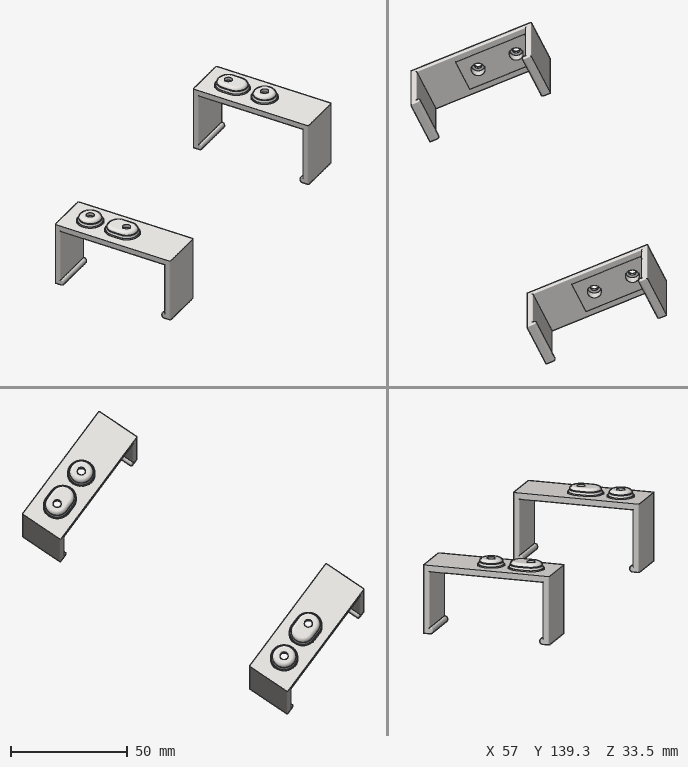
import cadquery as cq

OVERALL_SPAN = 139.3
OVERALL_HEIGHT = 33.5

LENGTH = 57.0
WIDTH = 20.0
WALL = 2.9
BOSS_HEIGHT = 2.9
BRACKET_HEIGHT = OVERALL_HEIGHT - BOSS_HEIGHT
LIP_HEIGHT = 2.9
LIP_RADIUS = LIP_HEIGHT / 2
EDGE_ROUND = 0.4
BRACKET_Y = (OVERALL_SPAN - WIDTH) / 2

FIRST_HOLE_X = 11.7
HOLE_PITCH = 18.0
SECOND_HOLE_X = FIRST_HOLE_X + HOLE_PITCH
STRETCH = 4.0

OPENING_DIAMETER = 11.8
FOOT_DIAMETER = 11.0
NECK_DIAMETER = 10.0
TOP_DIAMETER = 7.0
FOOT_HEIGHT = 0.4
SHOULDER_HEIGHT = 1.4
NECK_HEIGHT = 1.8
CROWN_BULGE = 0.3

HOLE_DIAMETER = 3.5
BORE_DIAMETER = 6.0
BORE_ROOF = 1.5

PLATE_THICKNESS = WALL / 2
PLATE_MARGIN = 1.4
PLATE_WIDTH = OPENING_DIAMETER + 2 * PLATE_MARGIN
PLATE_LENGTH = HOLE_PITCH + PLATE_WIDTH
PLATE_X = (FIRST_HOLE_X + SECOND_HOLE_X) / 2
PLATE_BOTTOM = BRACKET_HEIGHT - WALL
PLATE_TOP = PLATE_BOTTOM + PLATE_THICKNESS


def outline(x, stretch, diameter, z):
    """Sketch a circle around a hole at x, drawn out along X by a signed stretch."""
    sketch = cq.Workplane("XY", origin=(x + stretch / 2, 0, z))
    if stretch == 0:
        return sketch.circle(diameter / 2)
    return sketch.slot2D(diameter + abs(stretch), diameter)


def channel():
    """Constant U section with a rounded lip along the inside of each leg's end."""
    inner_right = LENGTH - WALL
    section = (
        cq.Workplane("XZ")
        .moveTo(0, 0)
        .lineTo(WALL, 0)
        .threePointArc((WALL + LIP_RADIUS, LIP_RADIUS), (WALL, LIP_HEIGHT))
        .lineTo(WALL, PLATE_BOTTOM)
        .lineTo(inner_right, PLATE_BOTTOM)
        .lineTo(inner_right, LIP_HEIGHT)
        .threePointArc((inner_right - LIP_RADIUS, LIP_RADIUS), (inner_right, 0))
        .lineTo(LENGTH, 0)
        .lineTo(LENGTH, BRACKET_HEIGHT)
        .lineTo(0, BRACKET_HEIGHT)
        .close()
        .extrude(WIDTH / 2, both=True)
    )
    return section.faces("<Y or >Y").edges("not >Z").fillet(EDGE_ROUND)


def insert_plate():
    return cq.Workplane("XY", origin=(PLATE_X, 0, PLATE_BOTTOM)).box(
        PLATE_LENGTH, PLATE_WIDTH, PLATE_THICKNESS, centered=(True, True, False)
    )


def bracket(stretches):
    """Channel with an underside pocket for the insert and a clearance opening per boss."""
    body = channel().cut(insert_plate())
    for x, stretch in stretches:
        body = body.cut(outline(x, stretch, OPENING_DIAMETER, PLATE_TOP).extrude(WALL))
    return body


def boss_half_section(x):
    """Half of the boss section at x: straight foot, tapered shoulder, short neck, domed crown."""
    foot_radius = FOOT_DIAMETER / 2
    neck_radius = NECK_DIAMETER / 2
    top_radius = TOP_DIAMETER / 2
    points = [
        (0, OVERALL_HEIGHT),
        (0, PLATE_TOP),
        (foot_radius, PLATE_TOP),
        (foot_radius, BRACKET_HEIGHT + FOOT_HEIGHT),
        (neck_radius, BRACKET_HEIGHT + SHOULDER_HEIGHT),
        (neck_radius, BRACKET_HEIGHT + NECK_HEIGHT),
    ]
    return (
        cq.Workplane("YZ", origin=(x, 0, 0))
        .polyline(points)
        .sagittaArc((top_radius, OVERALL_HEIGHT), -CROWN_BULGE)
        .close()
    )


def boss(x, stretch):
    """Round boss, or two round ends joined by a straight stretch along X."""
    body = boss_half_section(x).revolve(360, (0, 0, 0), (0, 1, 0))
    if stretch != 0:
        far_end = boss_half_section(x + stretch).revolve(360, (0, 0, 0), (0, 1, 0))
        side = boss_half_section(x).extrude(stretch)
        body = body.union(far_end).union(side).union(side.mirror("XZ"))
    return body


def insert(stretches):
    """Plate carrying both bosses, with a stepped screw hole through each."""
    body = insert_plate()
    for x, stretch in stretches:
        body = body.union(boss(x, stretch))
    bore_depth = OVERALL_HEIGHT - BORE_ROOF - PLATE_BOTTOM
    for x, _ in stretches:
        body = body.cut(outline(x, 0, HOLE_DIAMETER, PLATE_BOTTOM).extrude(OVERALL_HEIGHT - PLATE_BOTTOM))
        body = body.cut(outline(x, 0, BORE_DIAMETER, PLATE_BOTTOM).extrude(bore_depth))
    return body


FRONT_BOSSES = [(FIRST_HOLE_X, 0), (SECOND_HOLE_X, -STRETCH)]
REAR_BOSSES = [(FIRST_HOLE_X, STRETCH), (SECOND_HOLE_X, 0)]

bodies = []
for y, stretches in [(-BRACKET_Y, FRONT_BOSSES), (BRACKET_Y, REAR_BOSSES)]:
    bodies.append(bracket(stretches).translate((0, y, 0)).val())
    bodies.append(insert(stretches).translate((0, y, 0)).val())

result = cq.Compound.makeCompound(bodies)